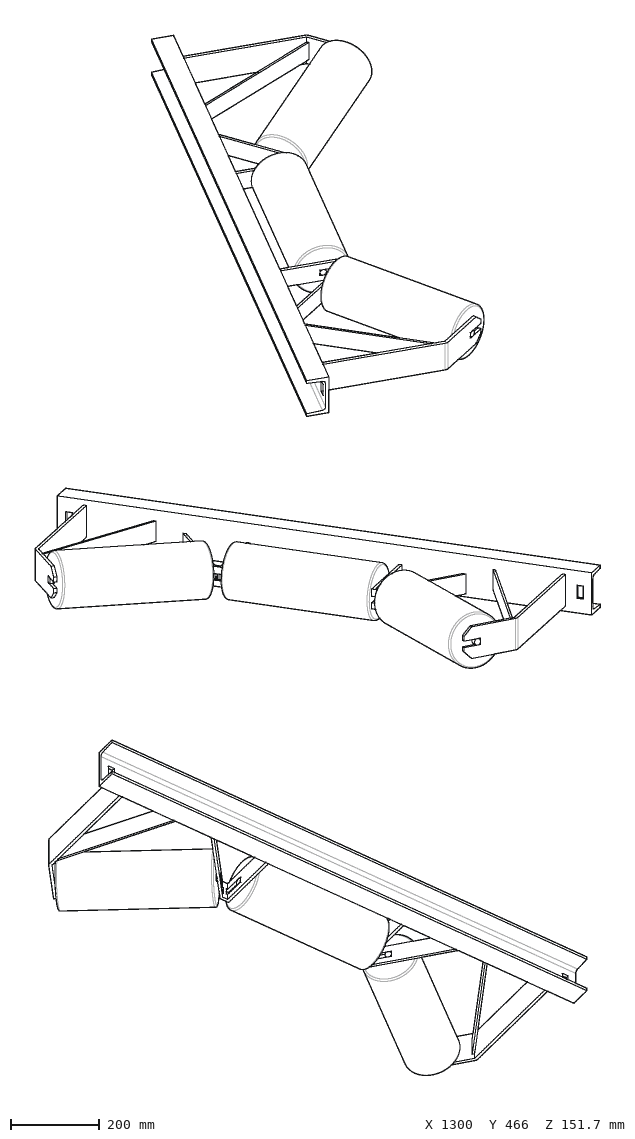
import cadquery as cq
import math


BEAM_LENGTH = 1300.0
BEAM_HEIGHT = 103.0
BEAM_DEPTH = 52.0
WEB_THICKNESS = 8.0
FLANGE_TIP = 8.0
FLANGE_ROOT = 10.0
ROOT_RADIUS = 8.0
MOUNT_SLOT_WIDTH = 15.0
MOUNT_SLOT_HEIGHT = 31.0
MOUNT_SLOT_END = 29.0
MOUNT_SLOT_X = BEAM_LENGTH / 2 - MOUNT_SLOT_END

ROLLER_RADIUS = 66.0
ROLLER_LENGTH = 360.0
RIM_RADIUS = 4.0
SHAFT_RADIUS = 8.0
MIDDLE_Y = 116.0
MIDDLE_Z = -21.0
WING_ANGLE = math.radians(40)
WING_OUTER_END = cq.Vector(512.0, 365.0, -1.0)
WING_TILT = math.asin((WING_OUTER_END.z - MIDDLE_Z) / ROLLER_LENGTH)

PLATE = 8.0
OUTER_WIDTH = 77.0
OUTER_FACE_X = 586.0
OUTER_BEND_Y = 295.0
OUTER_BEND_RADIUS = 12.0
OUTER_TIP_Y = 399.0
TIP_CHAMFER = 20.0

INNER_WIDTH = 48.0
INNER_Z = -20.0
INNER_GAP = 1.0
INNER_FACE_X = ROLLER_LENGTH / 2 + INNER_GAP
INNER_TOP_Y = 166.0
LEG_PLATE = 6.0
LEG_FOOT_X = 345.0

BRACE_PLATE = 5.0
BRACE_WIDTH = 50.0
BRACE_FOOT_X = 416.0

SLOT_DEPTH = 78.0
SLOT_THROUGH = 23.0

LEAN = cq.Vector(-math.sin(WING_ANGLE), math.cos(WING_ANGLE))
ACROSS = cq.Vector(-math.cos(WING_ANGLE), -math.sin(WING_ANGLE))
WING_AXIS = ACROSS * math.cos(WING_TILT) - cq.Vector(0, 0, math.sin(WING_TILT))
WING_INNER_END = WING_OUTER_END + WING_AXIS * ROLLER_LENGTH

OUTER_BEND = cq.Vector(OUTER_FACE_X, OUTER_BEND_Y)
INSIDE_BEND = OUTER_BEND - cq.Vector(PLATE, PLATE * math.tan(WING_ANGLE / 2))
LEG_FOOT = cq.Vector(LEG_FOOT_X, 0)

OUTER_STUB = (WING_OUTER_END - OUTER_BEND).dot(ACROSS)
INNER_STUB = (LEG_FOOT - WING_INNER_END).dot(ACROSS) + LEG_PLATE
MIDDLE_STUB = INNER_GAP + PLATE


def nearest(point):
    return cq.selectors.NearestToPointSelector(point.toTuple())


def make_plate(corners, width, centre_z=0.0):
    """A plate seen edge-on in XY, extruded to its width along Z."""
    outline = [(corner.x, corner.y) for corner in corners]
    profile = cq.Workplane("XY", origin=(0, 0, centre_z)).polyline(outline).close()
    return profile.extrude(width / 2, both=True)


def make_beam():
    half = BEAM_HEIGHT / 2
    profile = [
        (0, -half),
        (-BEAM_DEPTH, -half),
        (-BEAM_DEPTH, FLANGE_TIP - half),
        (-WEB_THICKNESS, FLANGE_ROOT - half),
        (-WEB_THICKNESS, half - FLANGE_ROOT),
        (-BEAM_DEPTH, half - FLANGE_TIP),
        (-BEAM_DEPTH, half),
        (0, half),
    ]
    channel = cq.Workplane("YZ").polyline(profile).close().extrude(BEAM_LENGTH / 2, both=True)
    for side in (-1, 1):
        root = cq.Vector(0, -WEB_THICKNESS, side * (half - FLANGE_ROOT))
        channel = channel.edges(nearest(root)).fillet(ROOT_RADIUS)
    slots = (
        cq.Workplane("XZ")
        .pushPoints([(-MOUNT_SLOT_X, 0), (MOUNT_SLOT_X, 0)])
        .rect(MOUNT_SLOT_WIDTH, MOUNT_SLOT_HEIGHT)
        .extrude(WEB_THICKNESS)
    )
    return channel.cut(slots)


def make_roller(end_centre, axis, near_stub, far_stub):
    frame = cq.Plane(origin=end_centre, xDir=(0, 0, 1), normal=axis)
    shell = cq.Workplane(frame).circle(ROLLER_RADIUS).extrude(ROLLER_LENGTH)
    shell = shell.edges("%CIRCLE").fillet(RIM_RADIUS)
    shaft = (
        cq.Workplane(frame)
        .workplane(offset=-near_stub)
        .circle(SHAFT_RADIUS)
        .extrude(near_stub + ROLLER_LENGTH + far_stub)
    )
    return shell.union(shaft)


def make_shaft_slot(shaft_end, axis, opening):
    """Cutter as wide as the shaft, seated under it and open along `opening`."""
    frame = cq.Plane(origin=shaft_end, xDir=opening, normal=axis)
    return (
        cq.Workplane(frame)
        .center(SLOT_DEPTH / 2 - SHAFT_RADIUS, 0)
        .rect(SLOT_DEPTH, 2 * SHAFT_RADIUS)
        .extrude(SLOT_THROUGH / 2, both=True)
    )


def make_outer_bracket():
    tip = OUTER_BEND + LEAN * ((OUTER_TIP_Y - OUTER_BEND_Y) / LEAN.y)
    inside_tip = tip + ACROSS * PLATE
    foot = cq.Vector(OUTER_FACE_X, 0)
    inside_foot = cq.Vector(OUTER_FACE_X - PLATE, 0)
    bracket = make_plate([foot, OUTER_BEND, tip, inside_tip, INSIDE_BEND, inside_foot], OUTER_WIDTH)
    bracket = bracket.edges(nearest(OUTER_BEND)).fillet(OUTER_BEND_RADIUS)
    for side in (-1, 1):
        corner = (tip + inside_tip) * 0.5 + cq.Vector(0, 0, side * OUTER_WIDTH / 2)
        bracket = bracket.edges(nearest(corner)).chamfer(TIP_CHAMFER)
    shaft_end = WING_OUTER_END - WING_AXIS * OUTER_STUB
    return bracket.cut(make_shaft_slot(shaft_end, WING_AXIS, LEAN))


def make_inner_bracket():
    underside_y = INNER_TOP_Y - PLATE
    up_leg = LEAN * (1 / LEAN.y)
    inside_foot = LEG_FOOT - cq.Vector(LEG_PLATE / LEAN.y, 0)
    corners = [
        cq.Vector(INNER_FACE_X, 0),
        cq.Vector(INNER_FACE_X, INNER_TOP_Y),
        LEG_FOOT + up_leg * INNER_TOP_Y,
        LEG_FOOT,
        inside_foot,
        inside_foot + up_leg * underside_y,
        cq.Vector(INNER_FACE_X + PLATE, underside_y),
        cq.Vector(INNER_FACE_X + PLATE, 0),
    ]
    bracket = make_plate(corners, INNER_WIDTH, INNER_Z)
    middle_end = cq.Vector(INNER_FACE_X, MIDDLE_Y, MIDDLE_Z)
    middle_slot = make_shaft_slot(middle_end, cq.Vector(1, 0, 0), cq.Vector(0, 1, 0))
    wing_slot = make_shaft_slot(WING_INNER_END, WING_AXIS, LEAN)
    return bracket.cut(middle_slot).cut(wing_slot)


def make_brace():
    """The top end lies flat on the leaning plate, starting at the inside of the bend."""
    foot = cq.Vector(BRACE_FOOT_X, 0)
    along = (INSIDE_BEND - foot).normalized()
    square = cq.Vector(-along.y, along.x)
    inside_top = INSIDE_BEND + LEAN * (BRACE_PLATE / square.dot(LEAN))
    inside_foot = foot - cq.Vector(BRACE_PLATE / along.y, 0)
    return make_plate([foot, INSIDE_BEND, inside_top, inside_foot], BRACE_WIDTH)


beam = make_beam()
middle_roller = make_roller(
    cq.Vector(-ROLLER_LENGTH / 2, MIDDLE_Y, MIDDLE_Z), cq.Vector(1, 0, 0), MIDDLE_STUB, MIDDLE_STUB
)
wing_roller = make_roller(WING_OUTER_END, WING_AXIS, OUTER_STUB, INNER_STUB)
outer_bracket = make_outer_bracket()
inner_bracket = make_inner_bracket()
brace = make_brace()

bodies = [beam.val(), middle_roller.val()]
for body in (wing_roller, outer_bracket, inner_bracket, brace):
    bodies.append(body.val())
    bodies.append(body.mirror("YZ").val())

result = cq.Compound.makeCompound(bodies)